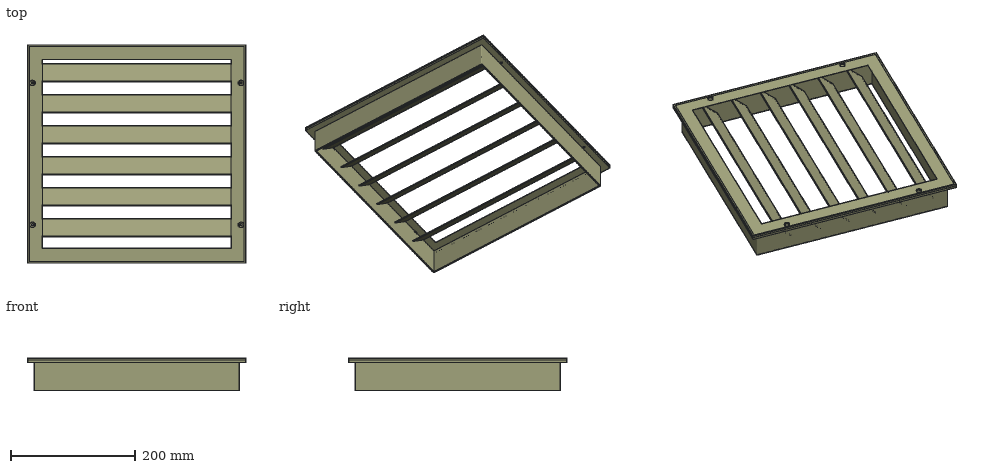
import cadquery as cq
FRAME_SIZE = 352.0
TOTAL_HEIGHT = 52.0

OPENING_SIZE = 304.0
BEZEL_THICKNESS = 0.7
RIM_HEIGHT = 3.0
RIM_WIDTH = 2.8

FLANGE_THICKNESS = 4.0
DUCT_SIZE = 331.0
DUCT_WALL = 2.0
DUCT_CORNER_RADIUS = 1.0

SCREW_X = 168.3
SCREW_Y = 114.5
SCREW_DIAMETER = 2.8
COUNTERSINK_DIAMETER = 8.8

BLADE_COUNT = 6
BLADE_PITCH = 50.0
BLADE_THICKNESS = 1.8
BLADE_WIDTH = 40.5
BLADE_TILT = -45
BLADE_ROW_Y = 6.0
BLADE_Z = 35.2

PLATE_BOTTOM = TOTAL_HEIGHT - BEZEL_THICKNESS
RIM_BOTTOM = TOTAL_HEIGHT - RIM_HEIGHT
FLANGE_BOTTOM = RIM_BOTTOM - FLANGE_THICKNESS
RIM_INNER_SIZE = FRAME_SIZE - 2 * RIM_WIDTH
DUCT_INNER_SIZE = DUCT_SIZE - 2 * DUCT_WALL
COUNTERSINK_DEPTH = (COUNTERSINK_DIAMETER - SCREW_DIAMETER) / 2


def square_slab(size, bottom, top):
    """Square block centred on the Z axis between two heights."""
    return cq.Workplane("XY").workplane(offset=bottom).rect(size, size).extrude(top - bottom)


def make_screw_holes():
    """Four hole shapes: clear through the bezel, countersunk into the flange."""
    countersink_bottom = RIM_BOTTOM - COUNTERSINK_DEPTH
    half_section = [
        (0, FLANGE_BOTTOM),
        (SCREW_DIAMETER / 2, FLANGE_BOTTOM),
        (SCREW_DIAMETER / 2, countersink_bottom),
        (COUNTERSINK_DIAMETER / 2, RIM_BOTTOM),
        (COUNTERSINK_DIAMETER / 2, TOTAL_HEIGHT),
        (0, TOTAL_HEIGHT),
    ]
    hole = cq.Workplane("XZ").polyline(half_section).close().revolve(360, (0, 0), (0, 1))
    centres = [(sx * SCREW_X, sy * SCREW_Y) for sx in (-1, 1) for sy in (-1, 1)]
    holes = cq.Workplane("XY")
    for x, y in centres:
        holes = holes.add(hole.translate((x, y, 0)))
    return holes.combine()


def make_bezel(screw_holes):
    """Square front plate with an opening and a rim that caps the flange edge."""
    plate = square_slab(FRAME_SIZE, RIM_BOTTOM, TOTAL_HEIGHT)
    recess = square_slab(RIM_INNER_SIZE, RIM_BOTTOM, PLATE_BOTTOM)
    opening = square_slab(OPENING_SIZE, RIM_BOTTOM, TOTAL_HEIGHT)
    return plate.cut(recess).cut(opening).cut(screw_holes)


def make_blade(y):
    """One tilted flat blade spanning the duct between its side walls."""
    return (
        cq.Workplane("XY")
        .box(DUCT_INNER_SIZE, BLADE_WIDTH, BLADE_THICKNESS)
        .rotate((0, 0, 0), (1, 0, 0), BLADE_TILT)
        .translate((0, y, BLADE_Z))
    )


def make_housing(screw_holes):
    """Thin-walled duct, outward flange that carries the bezel, and fixed blades."""
    duct = square_slab(DUCT_SIZE, 0, RIM_BOTTOM).edges("|Z").fillet(DUCT_CORNER_RADIUS)
    flange = square_slab(FRAME_SIZE, FLANGE_BOTTOM, RIM_BOTTOM)
    cavity = square_slab(DUCT_INNER_SIZE, 0, RIM_BOTTOM)
    housing = duct.union(flange).cut(cavity).cut(screw_holes)
    for index in range(BLADE_COUNT):
        row_position = index - (BLADE_COUNT - 1) / 2
        housing = housing.union(make_blade(BLADE_ROW_Y + row_position * BLADE_PITCH))
    return housing


screw_holes = make_screw_holes()
bezel = make_bezel(screw_holes)
housing = make_housing(screw_holes)

result = cq.Compound.makeCompound([bezel.val(), *housing.vals()])